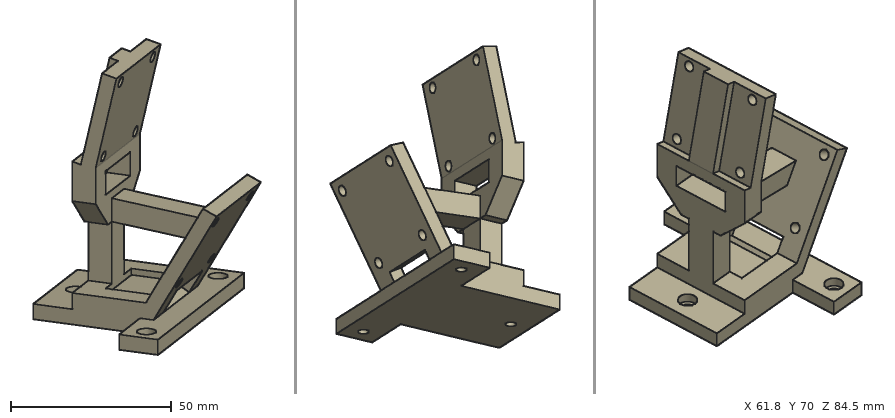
import cadquery as cq
import math

body_width = 36.0
base_height = 10.4
foot_height = 5.1
front_foot_length = 13.2
crossbar_start = 22.8
crossbar_length = 13.1
crossbar_width = 70.0

screw_diameter = 3.4
counterbore_diameter = 6.0
counterbore_depth = 2.95
front_screw_x = -6.3
side_screw_x = 29.6
side_screw_y = 29.1

column_thickness = 7.95
rib_width = 10.0
head_bottom = 30.8
head_full_width_height = 40.6
head_bottom_width = 16.3
head_window_width = 20.1
head_window_bottom = 41.15
head_window_height = 7.8

overall_height = 84.5
upper_lean = 13.0
bend_height = 53.6
recess_depth = 2.95
upper_hole_heights = (55.9, 81.1)
mount_hole_y = 13.0

rear_lean = 30.0
rear_inner_foot_x = 24.8
rear_inner_top_x = 44.0
rear_outer_foot_x = 27.4
rear_outer_top_x = 48.6
rear_lower_hole_height = 18.9
rear_upper_hole_height = 40.8
rear_upper_hole_y = 13.95

brace_drop = 5.0
brace_bottom = 30.8
brace_height = 7.7

pocket_y_min = -10.0
pocket_y_max = 10.9
pocket_floor_end = 21.8
window_top = 15.2

rear_slope = math.tan(math.radians(90 - rear_lean))
passage_slope = math.tan(math.radians(rear_lean))


def rear_inner_x(z):
    """X of the inner face of the rear plate at height z."""
    return rear_inner_foot_x + (z - base_height) / rear_slope


def rear_outer_z(x):
    """Height of the outer face of the rear plate at position x."""
    return foot_height + (x - rear_outer_foot_x) * rear_slope


def box(x_min, x_max, y_min, y_max, z_min, z_max):
    size = (x_max - x_min, y_max - y_min, z_max - z_min)
    return cq.Workplane("XY").box(*size, centered=False).translate((x_min, y_min, z_min))


def side_prism(points, y_min, y_max):
    """Extrude an X-Z outline from y_min to y_max."""
    plane = cq.Workplane("XZ", origin=(0, y_max, 0))
    return plane.polyline(points).close().extrude(y_max - y_min)


def centred_prism(points, width):
    return side_prism(points, -width / 2, width / 2)


def leaning_hole(x, y, z, lean):
    """Cutter square to a plate leaning back by lean degrees, centred at the given point."""
    angle = math.radians(lean)
    direction = cq.Vector(math.cos(angle), 0, -math.sin(angle))
    start = cq.Vector(x, y, z) - direction * column_thickness
    return cq.Solid.makeCylinder(screw_diameter / 2, 2 * column_thickness, start, direction)


def make_base():
    half = body_width / 2
    foot = box(-front_foot_length, 0, -half, half, 0, foot_height)
    crossbar_end = crossbar_start + crossbar_length
    bar_half = crossbar_width / 2
    crossbar = box(crossbar_start, crossbar_end, -bar_half, bar_half, 0, foot_height)
    block = centred_prism(
        [
            (0, 0),
            (rear_outer_foot_x, 0),
            (rear_outer_foot_x, foot_height),
            (rear_inner_foot_x, base_height),
            (0, base_height),
        ],
        body_width,
    )
    base = block.union(foot).union(crossbar)
    screws = [(front_screw_x, 0), (side_screw_x, -side_screw_y), (side_screw_x, side_screw_y)]
    counterbore_floor = foot_height - counterbore_depth
    shafts = cq.Workplane("XY").pushPoints(screws).circle(screw_diameter / 2).extrude(foot_height)
    counterbores = (
        cq.Workplane("XY", origin=(0, 0, counterbore_floor))
        .pushPoints(screws)
        .circle(counterbore_diameter / 2)
        .extrude(counterbore_depth)
    )
    return base.cut(shafts).cut(counterbores)


def make_column():
    half = rib_width / 2
    rib = box(0, column_thickness, -half, half, 0, head_bottom)
    head = (
        cq.Workplane("YZ")
        .polyline(
            [
                (-head_bottom_width / 2, head_bottom),
                (head_bottom_width / 2, head_bottom),
                (body_width / 2, head_full_width_height),
                (body_width / 2, bend_height),
                (-body_width / 2, bend_height),
                (-body_width / 2, head_full_width_height),
            ]
        )
        .close()
        .extrude(column_thickness)
    )
    bend_cut_depth = column_thickness * math.tan(math.radians(upper_lean))
    bend_cut = centred_prism(
        [
            (0, bend_height),
            (column_thickness, bend_height),
            (column_thickness, bend_height - bend_cut_depth),
        ],
        body_width,
    )
    window_half = head_window_width / 2
    window = box(
        0,
        column_thickness,
        -window_half,
        window_half,
        head_window_bottom,
        head_window_bottom + head_window_height,
    )
    return rib.union(head.cut(bend_cut)).cut(window)


def make_upper_plate():
    angle = math.radians(upper_lean)
    length = (overall_height - bend_height) / math.cos(angle)

    def plate_point(depth, along):
        """Point at a depth behind the front face and a distance up the plate."""
        x = depth * math.cos(angle) + along * math.sin(angle)
        z = bend_height - depth * math.sin(angle) + along * math.cos(angle)
        return x, z

    def slab(front, back):
        corners = [(front, 0), (back, 0), (back, length), (front, length)]
        return [plate_point(depth, along) for depth, along in corners]

    plate = centred_prism(slab(recess_depth, column_thickness), body_width)
    bend_corner = centred_prism(
        [
            plate_point(0, 0),
            (column_thickness, bend_height - column_thickness * math.tan(angle)),
            (column_thickness, bend_height - column_thickness * math.tan(angle / 2)),
            plate_point(column_thickness, 0),
        ],
        body_width,
    )
    plate = plate.union(bend_corner)
    plate = plate.union(centred_prism(slab(0, column_thickness), rib_width))
    face_x, face_z = plate_point(recess_depth, 0)
    for z in upper_hole_heights:
        x = face_x + (z - face_z) * math.tan(angle)
        for y in (-mount_hole_y, mount_hole_y):
            plate = plate.cut(leaning_hole(x, y, z, upper_lean))
    return plate


def make_rear_plate():
    rear_inner_top_z = base_height + (rear_inner_top_x - rear_inner_foot_x) * rear_slope
    plate = centred_prism(
        [
            (rear_inner_foot_x, base_height),
            (rear_outer_foot_x, foot_height),
            (rear_outer_top_x, rear_outer_z(rear_outer_top_x)),
            (rear_inner_top_x, rear_inner_top_z),
        ],
        body_width,
    )
    hole_rows = ((rear_lower_hole_height, mount_hole_y), (rear_upper_hole_height, rear_upper_hole_y))
    for z, half_spacing in hole_rows:
        for y in (-half_spacing, half_spacing):
            plate = plate.cut(leaning_hole(rear_inner_x(z), y, z, rear_lean))
    return plate


def make_brace():
    slope = math.tan(math.radians(brace_drop))

    def inner_face_end(z_start):
        """Where an edge that leaves the column at z_start meets the rear plate."""
        gap = rear_inner_x(z_start) - column_thickness
        x = column_thickness + gap / (1 + slope / rear_slope)
        return x, z_start - (x - column_thickness) * slope

    brace_top = brace_bottom + brace_height
    return centred_prism(
        [
            (column_thickness, brace_bottom),
            inner_face_end(brace_bottom),
            inner_face_end(brace_top),
            (column_thickness, brace_top),
        ],
        rib_width,
    )


def make_cable_passage():
    """Pocket whose ramp falls, square to the rear plate, to the top of the crossbar."""
    floor_height = foot_height + (rear_outer_foot_x - pocket_floor_end) * passage_slope
    window_x = rear_inner_x(window_top)
    exit_x = crossbar_start + crossbar_length
    exit_top = window_top - (exit_x - window_x) * passage_slope
    outline = [
        (column_thickness, floor_height),
        (pocket_floor_end, floor_height),
        (rear_outer_foot_x, foot_height),
        (exit_x, foot_height),
        (exit_x, exit_top),
        (window_x, window_top),
        (column_thickness, window_top),
    ]
    return side_prism(outline, pocket_y_min, pocket_y_max)


result = (
    make_base()
    .union(make_column())
    .union(make_rear_plate())
    .cut(make_cable_passage())
    .union(make_upper_plate())
    .union(make_brace())
)